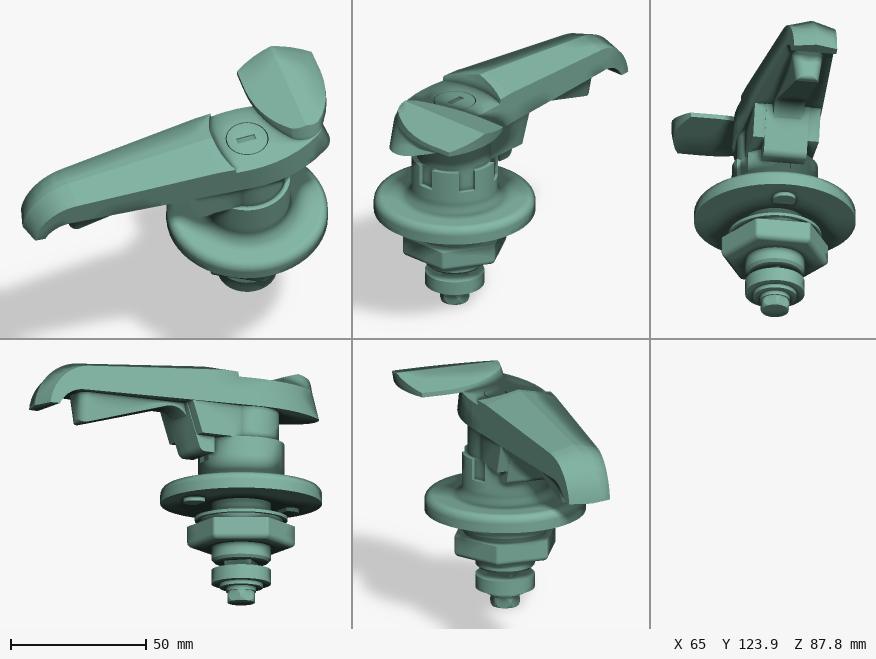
import cadquery as cq
import math


BOLT_BOTTOM = -37.3
BOLT_HEX_TOP = -33.2
WASHER_BOTTOM = -31.7
CAM_BOTTOM = -30.2
CAM_TOP = -25.0
BARREL_BOTTOM = -22.0
NUT_BOTTOM = -16.5
NUT_TOP = -8.5
NUT_COLLAR_TOP = -6.3
LOCK_WASHER_TOP = -5.2
GASKET_TOP = 1.5
FLANGE_TOP = 6.5
SLOT_BOTTOM = 14.5
COLLAR_TOP = 22.4
HUB_BOTTOM = 34.3
HUB_TOP = 44.7
RIDGE_TOP = 50.5

FLANGE_RADIUS = 30.0
FLANGE_FILLET = 3.0
COLLAR_RADIUS = 16.0
STEM_RADIUS = 14.0
BARREL_RADIUS = 11.0
BARREL_CHAMFER = 1.0
SLOT_WIDTH = 6.2
SLOT_COUNT = 4
SLOT_PITCH = 60.0
FIRST_SLOT_ANGLE = 90.0
SHAFT_SIDE = 10.0
STUD_RADIUS = 4.2
STUD_OFFSET = 19.8
STUD_FLAT_OFFSET = 17.4
STUD_HEIGHT = 1.5
LOCK_WASHER_RADIUS = 17.2
NUT_COLLAR_RADIUS = 15.5
NUT_FLATS = 35.0
NUT_CORNER_FILLET = 1.2
NUT_EDGE_FILLET = 1.9
WASHER_RADIUS = 8.0
BOLT_COLLAR_RADIUS = 5.6
BOLT_FLATS = 10.0
BOLT_BARREL_RADIUS = 5.6
BOLT_SHANK_RADIUS = 3.0
BOLT_SHANK_LENGTH = 9.9
PLUG_RADIUS = 7.5
PLUG_RECESS_RADIUS = 7.9
KEY_SLOT_WIDTH = 2.5
KEY_SLOT_LENGTH = 7.2
KEY_SLOT_DEPTH = 0.6
KEY_SLOT_OFFSET = -0.4

ROOF_ANGLE = 15.0
ROOF_SLOPE = math.tan(math.radians(ROOF_ANGLE))
HUB_LOW_SIDE = (13.6, 13.0)
HUB_LOW_SHOULDER = (6.5, 28.3)
HUB_LOW_NOSE_Y = 32.1
HUB_HIGH_SIDE = (13.1, 11.8)
HUB_HIGH_SHOULDER = (7.1, 25.2)
HUB_HIGH_NOSE_Y = 28.8
ARM_ROOT_Y = -4.2
ARM_ROOT_HALF_WIDTH = 14.9
ARM_TIP_Y = -88.0
ARM_TIP_HALF_WIDTH = 7.9
ARM_TIP_Z = 28.3
ARM_DROP = 0.083
RIDGE_KINK_Y = -16.1
TIP_SWEEP_ANGLE = 100.0
TIP_BEND_Y = -70.0
UNDERSIDE_BEND_Y = -72.5
UNDERSIDE_MIDDLE = (-78.6, 32.2)
UNDERSIDE_END_Y = -81.9
STEP_CENTER_Y = 16.9
STEP_BASE_RADIUS = 29.7
STEP_TOP_RADIUS = 30.5
WING_CENTER_Y = 21.2
WING_HALF_WIDTH = 14.7
WING_END_BOW = 3.7
WING_CORNER_INSET = 0.1
WING_FLANK_X = -21.3
WING_FLANK_BULGE = (-11.8, 11.3)
WING_TIP_CORNER = (-2.0, 5.3)
WING_LOW_ENDS = (-34.0, 7.5)
WING_HIGH_ENDS = (-35.0, 5.6)
ROOF_DEPTH = 17.4
GABLE_REACH = 17.4

BLOCK_HALF_WIDTH = 12.4
TAB_HALF_WIDTH = 8.0
TAB_BOTTOM = 16.5
TAB_PROUD = 0.2
TAB_FILLET = 2.7
BLOCK_FRONT_Y = -27.5
BLOCK_FRONT_SLOPE = 0.34
FINGER_END_Y = -71.1
FINGER_LOW_Y = -67.5
FINGER_LOW_Z = 23.5
FINGER_TOP_HALF_WIDTH = 5.8
FINGER_LOW_HALF_WIDTH = 4.2
FINGER_END_FILLET = 3.3
FINGER_EDGE_FILLET = 1.5
FINGER_END_LEAN = 0.7
HOLLOW_ROOT_Y = -25.0
HOLLOW_START_Z = 29.1
HOLLOW_MIDDLE = (-28.5, 31.7)
HOLLOW_END = (-35.2, 32.6)


def disc(radius, bottom, top):
    """Solid disc on the lock axis between two heights."""
    return cq.Workplane("XY").workplane(offset=bottom).circle(radius).extrude(top - bottom)


def ring(radius, bore, bottom, top):
    """Flat ring on the lock axis between two heights."""
    return disc(radius, bottom, top).cut(disc(bore, bottom, top))


def shaft(bottom, top):
    """Square shaft with its corners on the X and Y axes."""
    return (
        cq.Workplane("XY")
        .workplane(offset=bottom)
        .polygon(4, SHAFT_SIDE * math.sqrt(2))
        .extrude(top - bottom)
    )


def side_prism(outline, half_width):
    """Closed (Y, Z) outline extruded equally to both sides of X = 0."""
    return outline.close().extrude(half_width, both=True)


def make_housing():
    flange = disc(FLANGE_RADIUS, GASKET_TOP, FLANGE_TOP).faces(">Z").edges().fillet(FLANGE_FILLET)
    foot_radius = COLLAR_RADIUS + FLANGE_FILLET
    arc_middle = FLANGE_FILLET * (1 - math.sqrt(0.5))
    collar = (
        cq.Workplane("XZ")
        .moveTo(0, FLANGE_TOP)
        .lineTo(foot_radius, FLANGE_TOP)
        .threePointArc(
            (COLLAR_RADIUS + arc_middle, FLANGE_TOP + arc_middle),
            (COLLAR_RADIUS, FLANGE_TOP + FLANGE_FILLET),
        )
        .lineTo(COLLAR_RADIUS, COLLAR_TOP)
        .lineTo(0, COLLAR_TOP)
        .close()
        .revolve(360, (0, 0), (0, 1))
    )
    barrel = disc(BARREL_RADIUS, BARREL_BOTTOM, GASKET_TOP).faces("<Z").edges().chamfer(BARREL_CHAMFER)
    body = flange.union(collar).union(barrel)
    body = body.cut(shaft(BARREL_BOTTOM, COLLAR_TOP))
    slot_length = COLLAR_RADIUS - STEM_RADIUS
    slot = (
        cq.Workplane("XY")
        .box(slot_length, SLOT_WIDTH, COLLAR_TOP - SLOT_BOTTOM, centered=(False, True, False))
        .translate((STEM_RADIUS, 0, SLOT_BOTTOM))
    )
    for index in range(SLOT_COUNT):
        body = body.cut(slot.rotate((0, 0, 0), (0, 0, 1), FIRST_SLOT_ANGLE + index * SLOT_PITCH))
    return body


def make_gasket():
    body = ring(FLANGE_RADIUS, BARREL_RADIUS, 0, GASKET_TOP)
    for side in (-1, 1):
        stud = (
            cq.Workplane("XY")
            .center(0, side * STUD_OFFSET)
            .circle(STUD_RADIUS)
            .extrude(-STUD_HEIGHT)
        )
        inner_side = cq.Workplane("XY").box(
            2 * STUD_RADIUS, 2 * STUD_FLAT_OFFSET, 2 * STUD_HEIGHT
        )
        body = body.union(stud.cut(inner_side))
    return body


def make_nut():
    hexagon = (
        cq.Workplane("XY")
        .workplane(offset=NUT_BOTTOM)
        .polygon(6, NUT_FLATS / math.cos(math.pi / 6))
        .extrude(NUT_TOP - NUT_BOTTOM)
        .edges("|Z")
        .fillet(NUT_CORNER_FILLET)
        .faces("<Z")
        .edges()
        .fillet(NUT_EDGE_FILLET)
    )
    collar = disc(NUT_COLLAR_RADIUS, NUT_TOP, NUT_COLLAR_TOP)
    return hexagon.union(collar).cut(disc(BARREL_RADIUS, NUT_BOTTOM, NUT_COLLAR_TOP))


def make_bolt_shank():
    return disc(BOLT_SHANK_RADIUS, WASHER_BOTTOM, CAM_BOTTOM + BOLT_SHANK_LENGTH)


def make_bolt():
    hexagon = (
        cq.Workplane("XY")
        .workplane(offset=BOLT_BOTTOM)
        .polygon(6, BOLT_FLATS / math.cos(math.pi / 6))
        .extrude(BOLT_HEX_TOP - BOLT_BOTTOM)
        .rotate((0, 0, 0), (0, 0, 1), 90)
    )
    barrel = (
        cq.Workplane("XZ")
        .moveTo(0, BOLT_BOTTOM)
        .lineTo(BOLT_FLATS / 2, BOLT_BOTTOM)
        .threePointArc(
            (BOLT_BARREL_RADIUS, (BOLT_BOTTOM + BOLT_HEX_TOP) / 2), (BOLT_FLATS / 2, BOLT_HEX_TOP)
        )
        .lineTo(0, BOLT_HEX_TOP)
        .close()
        .revolve(360, (0, 0), (0, 1))
    )
    collar = disc(BOLT_COLLAR_RADIUS, BOLT_HEX_TOP, WASHER_BOTTOM)
    return hexagon.intersect(barrel).union(collar).union(make_bolt_shank())


def make_plug():
    key_slot = (
        cq.Workplane("XY")
        .workplane(offset=HUB_TOP)
        .center(0, KEY_SLOT_OFFSET)
        .rect(KEY_SLOT_WIDTH, KEY_SLOT_LENGTH)
        .extrude(-KEY_SLOT_DEPTH)
    )
    return disc(PLUG_RADIUS, HUB_BOTTOM, HUB_TOP).cut(key_slot)


def hub_outline(height, side_middle, shoulder, nose_y):
    """Rounded back end of the hub: two bulged sides and a round nose."""
    return (
        cq.Workplane("XY")
        .workplane(offset=height)
        .moveTo(ARM_ROOT_HALF_WIDTH, ARM_ROOT_Y)
        .threePointArc(side_middle, shoulder)
        .threePointArc((0, nose_y), (-shoulder[0], shoulder[1]))
        .threePointArc((-side_middle[0], side_middle[1]), (-ARM_ROOT_HALF_WIDTH, ARM_ROOT_Y))
        .close()
    )


def make_hub():
    """Back end of the hub, with its nose leaning forward towards the top."""
    bottom = hub_outline(HUB_BOTTOM, HUB_LOW_SIDE, HUB_LOW_SHOULDER, HUB_LOW_NOSE_Y)
    top = hub_outline(HUB_TOP, HUB_HIGH_SIDE, HUB_HIGH_SHOULDER, HUB_HIGH_NOSE_Y)
    return cq.Workplane(cq.Solid.makeLoft([bottom.wire().val(), top.wire().val()], True))


def roof_section(plane):
    """Pentagon whose apex is the plane origin: the gable of the arm."""
    eave = -GABLE_REACH * ROOF_SLOPE
    return (
        cq.Workplane(plane)
        .polyline([
            (0, 0),
            (GABLE_REACH, eave),
            (GABLE_REACH, -ROOF_DEPTH),
            (-GABLE_REACH, -ROOF_DEPTH),
            (-GABLE_REACH, eave),
        ])
        .close()
    )


def make_arm():
    """Tapered arm with a gabled top that bends down into the tip."""
    run = RIDGE_KINK_Y - TIP_BEND_Y
    bend_z = RIDGE_TOP - ARM_DROP * run
    slope_length = math.hypot(1, ARM_DROP)
    back = (0, 1 / slope_length, ARM_DROP / slope_length)

    chord_y = ARM_TIP_Y - TIP_BEND_Y
    chord_z = ARM_TIP_Z - bend_z
    tip_radius = (chord_y**2 + chord_z**2) * slope_length / (2 * (ARM_DROP * chord_y - chord_z))

    level_plane = cq.Plane((0, RIDGE_KINK_Y, RIDGE_TOP), (-1, 0, 0), (0, 1, 0))
    level_roof = roof_section(level_plane).extrude(ARM_ROOT_Y - RIDGE_KINK_Y)
    bend_plane = cq.Plane((0, TIP_BEND_Y, bend_z), (-1, 0, 0), back)
    falling_roof = roof_section(bend_plane).extrude(run * slope_length)
    tip_roof = roof_section(bend_plane).revolve(TIP_SWEEP_ANGLE, (1.2, -tip_radius), (-1.2, -tip_radius))
    roof = level_roof.union(falling_roof).union(tip_roof)

    plan = (
        cq.Workplane("XY")
        .polyline([
            (ARM_ROOT_HALF_WIDTH, ARM_ROOT_Y),
            (ARM_TIP_HALF_WIDTH, ARM_TIP_Y),
            (-ARM_TIP_HALF_WIDTH, ARM_TIP_Y),
            (-ARM_ROOT_HALF_WIDTH, ARM_ROOT_Y),
        ])
        .close()
        .extrude(RIDGE_TOP)
    )
    side = side_prism(
        cq.Workplane("YZ")
        .moveTo(ARM_ROOT_Y, HUB_BOTTOM)
        .lineTo(UNDERSIDE_BEND_Y, HUB_BOTTOM)
        .threePointArc(UNDERSIDE_MIDDLE, (UNDERSIDE_END_Y, ARM_TIP_Z))
        .lineTo(ARM_TIP_Y, ARM_TIP_Z)
        .lineTo(ARM_TIP_Y, RIDGE_TOP)
        .lineTo(ARM_ROOT_Y, RIDGE_TOP),
        ARM_ROOT_HALF_WIDTH,
    )
    return roof.intersect(plan).intersect(side)


def make_step_cutter():
    """Cone-walled space above the hub, bounded in front by the curved step."""
    return cq.Workplane(
        cq.Solid.makeCone(
            STEP_BASE_RADIUS,
            STEP_TOP_RADIUS,
            RIDGE_TOP - HUB_TOP,
            pnt=cq.Vector(0, STEP_CENTER_Y, HUB_TOP),
        )
    )


def front_y(z):
    """Y of the leaning front face of the block and tab at a height."""
    return BLOCK_FRONT_Y + BLOCK_FRONT_SLOPE * (HUB_BOTTOM - z)


def block(half_width, back_y, bottom):
    """Block below the arm with a leaning front face."""
    return side_prism(
        cq.Workplane("YZ")
        .moveTo(back_y, HUB_BOTTOM)
        .lineTo(BLOCK_FRONT_Y, HUB_BOTTOM)
        .lineTo(front_y(bottom), bottom)
        .lineTo(back_y, bottom),
        half_width,
    )


def make_tab():
    """Narrow block reaching down in front of the collar."""
    tab = block(TAB_HALF_WIDTH, TAB_PROUD - COLLAR_RADIUS, TAB_BOTTOM)
    tab = tab.edges("|X").edges("<Z").edges("<Y").fillet(TAB_FILLET)
    return tab.translate((0, -TAB_PROUD, 0))


def make_finger_rib():
    """Rib below the arm: a hollow next to the block, then a wedge with drafted sides."""
    low_end = (FINGER_END_Y + FINGER_END_LEAN, FINGER_LOW_Z)
    section = (
        cq.Workplane("XZ")
        .polyline([
            (FINGER_TOP_HALF_WIDTH, HUB_BOTTOM),
            (FINGER_LOW_HALF_WIDTH, FINGER_LOW_Z),
            (-FINGER_LOW_HALF_WIDTH, FINGER_LOW_Z),
            (-FINGER_TOP_HALF_WIDTH, HUB_BOTTOM),
        ])
        .close()
        .extrude(-FINGER_END_Y)
    )
    leaning_end = side_prism(
        cq.Workplane("YZ")
        .moveTo(0, HUB_BOTTOM)
        .lineTo(FINGER_END_Y, HUB_BOTTOM)
        .lineTo(*low_end)
        .lineTo(0, FINGER_LOW_Z),
        FINGER_TOP_HALF_WIDTH,
    )
    bar = section.intersect(leaning_end)
    bar = bar.faces("<Y").edges("not |X").fillet(FINGER_END_FILLET)

    profile = side_prism(
        cq.Workplane("YZ")
        .moveTo(HOLLOW_ROOT_Y, HUB_BOTTOM)
        .lineTo(front_y(HOLLOW_START_Z), HOLLOW_START_Z)
        .threePointArc(HOLLOW_MIDDLE, HOLLOW_END)
        .lineTo(FINGER_LOW_Y, FINGER_LOW_Z)
        .lineTo(*low_end)
        .lineTo(FINGER_END_Y, HUB_BOTTOM),
        FINGER_TOP_HALF_WIDTH,
    )
    profile = profile.edges("|X").edges("<Z").edges("<Y").fillet(FINGER_EDGE_FILLET)
    return bar.intersect(profile)


def make_lever():
    body = make_hub().union(make_arm()).cut(make_step_cutter())
    body = body.union(block(BLOCK_HALF_WIDTH, 0, COLLAR_TOP))
    body = body.union(make_tab())
    body = body.union(make_finger_rib())
    body = body.union(disc(STEM_RADIUS, COLLAR_TOP, HUB_BOTTOM))
    body = body.union(shaft(CAM_BOTTOM, COLLAR_TOP))
    body = body.cut(disc(PLUG_RECESS_RADIUS, HUB_BOTTOM, HUB_TOP))
    return body.cut(make_bolt_shank())


def wing_outline(height, left_x, tip_x):
    """Leaf-shaped outline: bowed blunt end at left_x, round tip at tip_x."""
    corner = (left_x + WING_END_BOW, WING_HALF_WIDTH - WING_CORNER_INSET)
    flank = (WING_FLANK_X, WING_HALF_WIDTH)
    flank_middle = (tip_x + WING_FLANK_BULGE[0], WING_FLANK_BULGE[1])
    tip_corner = (tip_x + WING_TIP_CORNER[0], WING_TIP_CORNER[1])

    def mirrored(point):
        return (point[0], -point[1])

    return (
        cq.Workplane("XY")
        .workplane(offset=height)
        .center(0, WING_CENTER_Y)
        .moveTo(*mirrored(corner))
        .threePointArc((left_x, 0), corner)
        .lineTo(*flank)
        .threePointArc(flank_middle, tip_corner)
        .threePointArc((tip_x, 0), mirrored(tip_corner))
        .threePointArc(mirrored(flank_middle), mirrored(flank))
        .close()
    )


def make_wing():
    bottom = wing_outline(HUB_TOP, *WING_LOW_ENDS)
    top = wing_outline(RIDGE_TOP, *WING_HIGH_ENDS)
    plate = cq.Workplane(cq.Solid.makeLoft([bottom.wire().val(), top.wire().val()], True))
    eave_z = RIDGE_TOP - GABLE_REACH * ROOF_SLOPE
    gable = (
        cq.Workplane("YZ")
        .polyline([
            (WING_CENTER_Y, RIDGE_TOP),
            (WING_CENTER_Y + GABLE_REACH, eave_z),
            (WING_CENTER_Y + GABLE_REACH, HUB_TOP),
            (WING_CENTER_Y - GABLE_REACH, HUB_TOP),
            (WING_CENTER_Y - GABLE_REACH, eave_z),
        ])
        .close()
        .extrude(-WING_HIGH_ENDS[0], both=True)
    )
    return plate.intersect(gable)


lever = make_lever()
wing = make_wing()
plug = make_plug()
housing = make_housing()
gasket = make_gasket()
lock_washer = ring(LOCK_WASHER_RADIUS, BARREL_RADIUS, NUT_COLLAR_TOP, LOCK_WASHER_TOP)
nut = make_nut()
cam = disc(BARREL_RADIUS, CAM_BOTTOM, CAM_TOP).cut(shaft(CAM_BOTTOM, CAM_TOP))
washer = ring(WASHER_RADIUS, BOLT_SHANK_RADIUS, WASHER_BOTTOM, CAM_BOTTOM)
bolt = make_bolt()

result = cq.Compound.makeCompound([
    lever.val(),
    wing.val(),
    plug.val(),
    housing.val(),
    gasket.val(),
    lock_washer.val(),
    nut.val(),
    cam.val(),
    washer.val(),
    bolt.val(),
])